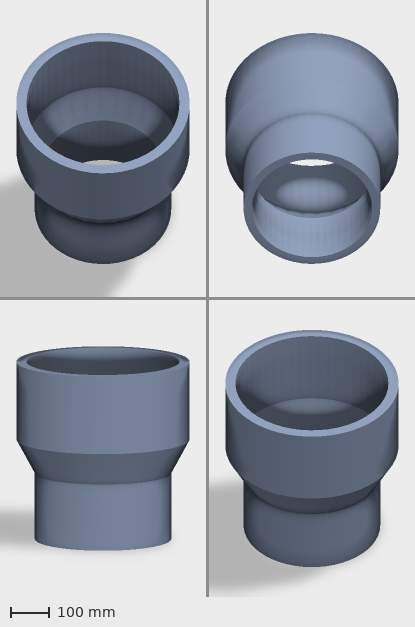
import cadquery as cq

height = 467.0
wide_outer_diameter = 450.0
wide_bore_diameter = 397.0
narrow_outer_diameter = 355.0
narrow_bore_diameter = 312.0

cone_bottom = 174.5
cone_top = 263.0


def stepped_solid(narrow_diameter, wide_diameter):
    """Solid of revolution about Z: narrow cylinder, cone, wide cylinder."""
    narrow_radius = narrow_diameter / 2
    wide_radius = wide_diameter / 2
    return (
        cq.Workplane("XZ")
        .moveTo(0, 0)
        .lineTo(narrow_radius, 0)
        .lineTo(narrow_radius, cone_bottom)
        .lineTo(wide_radius, cone_top)
        .lineTo(wide_radius, height)
        .lineTo(0, height)
        .close()
        .revolve(360, (0, 0, 0), (0, 1, 0))
    )


outer_body = stepped_solid(narrow_outer_diameter, wide_outer_diameter)
bore = stepped_solid(narrow_bore_diameter, wide_bore_diameter)
result = outer_body.cut(bore)